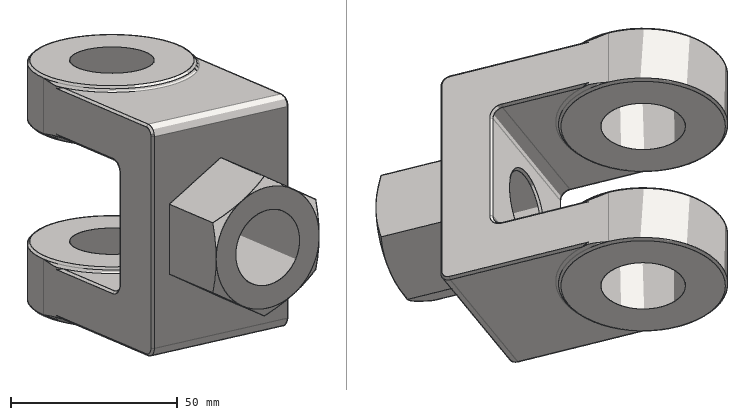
import cadquery as cq
import math

total_length = 104.8
width = 50.8
eye_span = 76.3
eye_thickness = 19.1
eye_raise = 1.6
body_end = 80.9
gap_end = 63.7
corner_radius = 3.1
edge_break = 0.7
pin_bore = 25.4
shank_bore = 23.7
hex_flats = 38.2
hex_chamfer_angle = 30.0

eye_radius = width / 2
body_height = eye_span - 2 * eye_raise
arm_thickness = eye_thickness - 2 * eye_raise
gap_height = body_height - 2 * arm_thickness
eye_offset = (eye_span - eye_thickness) / 2
foot_radius = eye_raise - edge_break
hex_corners = hex_flats / math.cos(math.pi / 6)


def fork_body():
    """U-shaped body with rounded corners and broken side edges."""
    body_length = body_end - eye_radius
    gap_length = gap_end - eye_radius
    outer = (
        cq.Workplane("XY")
        .box(body_length, width, body_height, centered=(False, True, True))
        .edges("|Y and >X")
        .fillet(corner_radius)
    )
    gap = (
        cq.Workplane("XY")
        .box(gap_length, width, gap_height, centered=(False, True, True))
        .edges("|Y and >X")
        .fillet(corner_radius)
    )
    body = outer.cut(gap).faces("<Y or >Y").edges("not <X").chamfer(edge_break)
    return body.translate((eye_radius, 0, 0))


def eye():
    """Chamfered boss with a concave foot blending onto both arm faces."""
    half = eye_thickness / 2
    arm_half = arm_thickness / 2
    wall_half = arm_half + foot_radius
    foot_outer = eye_radius + foot_radius
    arc_offset = foot_radius * (1 - math.sqrt(0.5))
    flared = (
        cq.Workplane("XZ")
        .moveTo(0, -half)
        .lineTo(eye_radius - edge_break, -half)
        .lineTo(eye_radius, -wall_half)
        .threePointArc((eye_radius + arc_offset, -arm_half - arc_offset), (foot_outer, -arm_half))
        .lineTo(foot_outer, arm_half)
        .threePointArc((eye_radius + arc_offset, arm_half + arc_offset), (eye_radius, wall_half))
        .lineTo(eye_radius - edge_break, half)
        .lineTo(0, half)
        .close()
        .revolve(360, (0, 0, 0), (0, 1, 0))
    )
    round_end = cq.Workplane("XY").circle(eye_radius).extrude(half, both=True)
    arm_side = cq.Workplane("XY").box(2 * eye_radius, width, eye_thickness, centered=(False, True, True))
    return flared.intersect(round_end.union(arm_side)).translate((eye_radius, 0, 0))


def hex_shank():
    """Hexagon with corners toward +Z and -Z and a conical chamfer at its free end."""
    length = total_length - body_end
    chamfer_radial = (hex_corners - hex_flats) / 2
    chamfer_axial = chamfer_radial * math.tan(math.radians(hex_chamfer_angle))
    prism = (
        cq.Workplane("YZ")
        .polygon(6, hex_corners)
        .extrude(length)
        .rotate((0, 0, 0), (1, 0, 0), 90)
    )
    turned = (
        cq.Workplane("YZ")
        .circle(hex_corners / 2)
        .extrude(length)
        .faces(">X")
        .chamfer(chamfer_axial, chamfer_radial)
    )
    return prism.intersect(turned).translate((body_end, 0, 0))


def shank_hole():
    """Through bore along X with a chamfered mouth at the inner wall of the fork."""
    mouth_radius = shank_bore / 2 + edge_break
    return (
        cq.Workplane("XY")
        .moveTo(gap_end, 0)
        .lineTo(gap_end, mouth_radius)
        .lineTo(gap_end + edge_break, shank_bore / 2)
        .lineTo(total_length, shank_bore / 2)
        .lineTo(total_length, 0)
        .close()
        .revolve(360, (0, 0, 0), (1, 0, 0))
    )


result = fork_body().union(hex_shank())
for side in (-1, 1):
    result = result.union(eye().translate((0, 0, side * eye_offset)))

pin_hole = cq.Workplane("XY").center(eye_radius, 0).circle(pin_bore / 2).extrude(eye_span, both=True)
result = result.cut(pin_hole).cut(shank_hole())